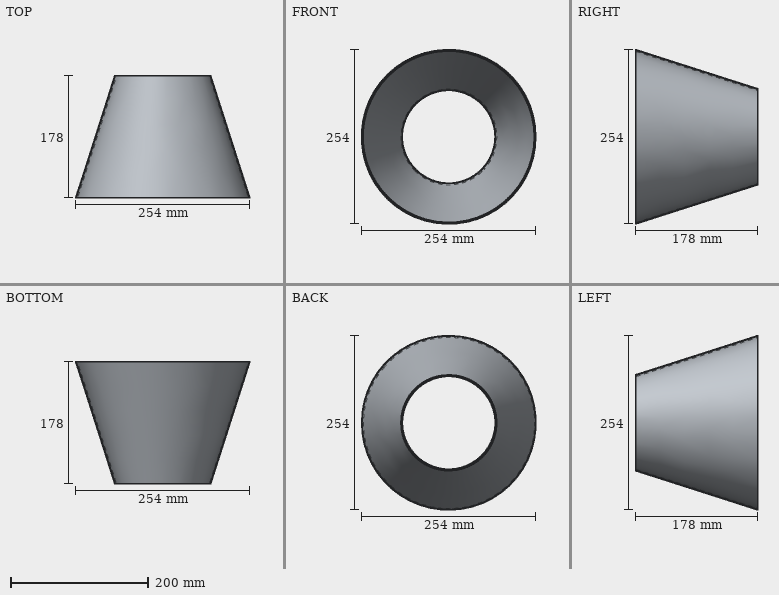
import cadquery as cq
import math

large_diameter = 254.0
small_diameter = 139.7
length = 178.0
wall = 2.0

large_radius = large_diameter / 2
small_radius = small_diameter / 2
half_length = length / 2

half_angle = math.atan2(large_radius - small_radius, length)
radial_wall = wall / math.cos(half_angle)

result = (
    cq.Workplane("XY")
    .moveTo(large_radius - radial_wall, -half_length)
    .lineTo(large_radius, -half_length)
    .lineTo(small_radius, half_length)
    .lineTo(small_radius - radial_wall, half_length)
    .close()
    .revolve(360, (0, 0, 0), (0, 1, 0))
)